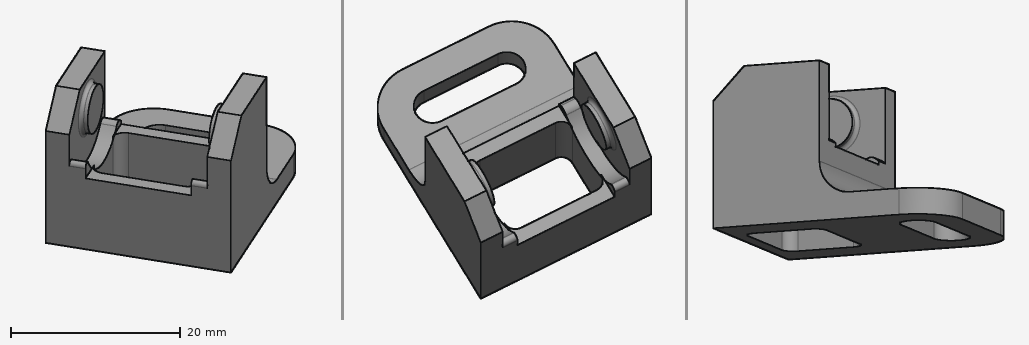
import cadquery as cq
import math

width = 23.0
length = 29.5
height = 19.2

block_depth = 13.63
plate_thickness = 3.15
bend_radius = 3.98
wall_chamfer = 3.98

plate_corner_radius = 5.72
slot_length = 14.45
slot_width = 4.45
slot_y = 23.57

wall_thickness = 2.95
floor_height = 9.65
window_width = 13.1
window_front = 1.8
window_back = 11.85
window_corner_radius = 1.48

pivot_y = 6.85
pivot_z = 15.2
disc_diameter = 6.0
disc_height = 1.03
disc_fillet = 0.5
scoop_radius = 7.05

front_round_radius = 0.53
back_round_radius = 1.0
back_round_start_angle = 46.0
back_slope_angle = 39.0

inner_width = width - 2 * wall_thickness
ledge_width = (inner_width - window_width) / 2


def polar(center, radius, angle):
    """Point at an angle in degrees, measured from +Y towards +Z."""
    return (
        center[0] + radius * math.cos(math.radians(angle)),
        center[1] + radius * math.sin(math.radians(angle)),
    )


def make_body():
    """L-shaped side profile with the bend, extruded across the width."""
    bend_center = (block_depth + bend_radius, plate_thickness + bend_radius)
    return (
        cq.Workplane("YZ")
        .lineTo(length, 0)
        .lineTo(length, plate_thickness)
        .lineTo(bend_center[0], plate_thickness)
        .threePointArc(polar(bend_center, bend_radius, 225), (block_depth, bend_center[1]))
        .lineTo(block_depth, height)
        .lineTo(wall_chamfer, height)
        .lineTo(0, height - wall_chamfer)
        .close()
        .extrude(width / 2, both=True)
        .edges("|Z and >Y")
        .fillet(plate_corner_radius)
    )


def make_cradle_gap():
    """Open space between the walls, above the cradle floor."""
    return cq.Workplane("XY").box(
        inner_width, block_depth, height - floor_height, centered=(True, False, False)
    ).translate((0, 0, floor_height))


def make_window():
    """Rounded rectangular opening through the cradle floor and base."""
    return (
        cq.Workplane("XY")
        .center(0, (window_front + window_back) / 2)
        .rect(window_width, window_back - window_front)
        .extrude(height)
        .edges("|Z")
        .fillet(window_corner_radius)
    )


def make_slot():
    return cq.Workplane("XY").center(0, slot_y).slot2D(slot_length, slot_width).extrude(plate_thickness)


def make_ledge_blank(start_x):
    """Ledge with rounded ends, tangent to the scoop at both ends."""
    pivot = (pivot_y, pivot_z)

    reach = scoop_radius + front_round_radius
    front_offset = pivot_y - front_round_radius
    front_drop = math.sqrt(reach**2 - front_offset**2)
    front_center = (front_round_radius, pivot_z - front_drop)
    front_end_angle = math.degrees(math.atan2(front_drop, front_offset))
    front_end = polar(front_center, front_round_radius, front_end_angle)

    scoop_end_angle = back_round_start_angle - 90
    back_center = polar(pivot, scoop_radius + back_round_radius, scoop_end_angle)
    back_start = polar(pivot, scoop_radius, scoop_end_angle)
    slope_start = polar(back_center, back_round_radius, 90 - back_slope_angle)
    slope_drop = (block_depth - slope_start[0]) * math.tan(math.radians(back_slope_angle))

    return (
        cq.Workplane("YZ", origin=(start_x, 0, 0))
        .lineTo(0, front_center[1])
        .threePointArc(polar(front_center, front_round_radius, (180 + front_end_angle) / 2), front_end)
        .threePointArc((pivot_y, pivot_z - scoop_radius), back_start)
        .threePointArc(polar(back_center, back_round_radius, 90), slope_start)
        .lineTo(block_depth, slope_start[1] - slope_drop)
        .lineTo(block_depth, 0)
        .close()
        .extrude(ledge_width)
    )


def make_ledge_space(start_x):
    """Full-height strip that the ledge is fitted into."""
    return cq.Workplane("XY").box(ledge_width, block_depth, height, centered=False).translate((start_x, 0, 0))


def make_disc():
    """Pivot disc on the -X wall, flared by a concave fillet at its root."""
    disc_radius = disc_diameter / 2
    flare_radius = disc_radius + disc_fillet
    flare_middle = polar((disc_fillet, flare_radius), disc_fillet, 225)
    return (
        cq.Workplane("XY")
        .lineTo(0, flare_radius)
        .threePointArc(flare_middle, (disc_fillet, disc_radius))
        .lineTo(disc_height, disc_radius)
        .lineTo(disc_height, 0)
        .close()
        .revolve(360, (0, 0, 0), (1, 0, 0))
        .translate((-inner_width / 2, pivot_y, pivot_z))
    )


result = make_body().cut(make_cradle_gap()).cut(make_window()).cut(make_slot())

for ledge_start in (-inner_width / 2, window_width / 2):
    result = result.cut(make_ledge_space(ledge_start)).union(make_ledge_blank(ledge_start))

left_disc = make_disc()
result = result.union(left_disc).union(left_disc.mirror("YZ"))